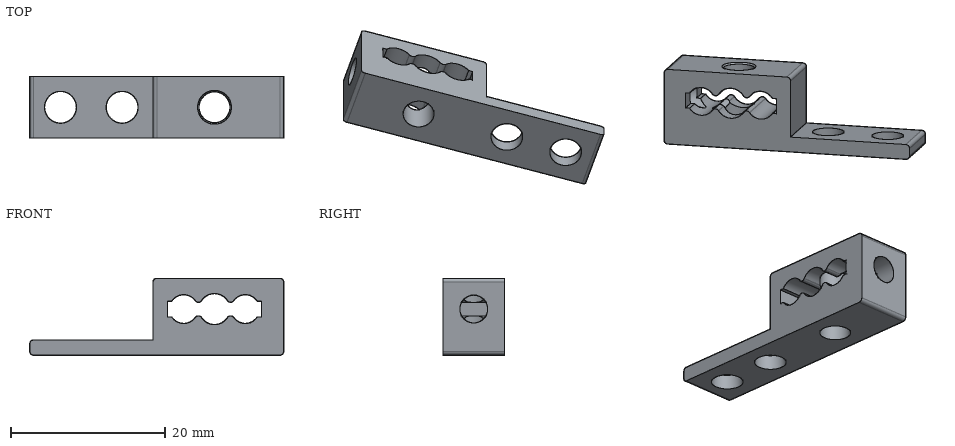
import cadquery as cq
import math

length = 33.0
width = 8.0
height = 10.0
tab_length = 16.0
tab_thickness = 2.0
edge_radius = 0.5

tab_hole_diameter = 4.1
tab_hole_positions = (4.0, 12.0)

passage_x = 24.0
passage_z = 6.0
lobe_pitch = 4.0
centre_lobe_radius = 2.0
side_lobe_radius = 1.85
neck_radius = 0.5
slot_length = 12.2
slot_height = 2.0

screw_hole_diameter = 4.0
screw_chamfer = 0.2

cable_bore_diameter = 3.6


def make_body():
    """Stepped side profile extruded across the width, with rounded outer edges."""
    body = (
        cq.Workplane("XZ")
        .polyline([
            (0, 0),
            (length, 0),
            (length, height),
            (tab_length, height),
            (tab_length, tab_thickness),
            (0, tab_thickness),
        ])
        .close()
        .extrude(width / 2, both=True)
    )
    body = body.edges("|Y and (<X or >X)").fillet(edge_radius)
    top_step_edge = cq.selectors.NearestToPointSelector((tab_length, 0, height))
    return body.edges(top_step_edge).fillet(edge_radius)


def passage_quarter_points():
    """Points along one quarter of the passage, from the centre lobe to the slot end.

    Each neck arc is tangent to the centre lobe and to a side lobe. Coordinates
    are relative to the passage centre.
    """
    centre_reach = centre_lobe_radius + neck_radius
    side_reach = side_lobe_radius + neck_radius
    neck_x = (lobe_pitch**2 + centre_reach**2 - side_reach**2) / (2 * lobe_pitch)
    neck_z = math.sqrt(centre_reach**2 - neck_x**2)

    centre_ratio = centre_lobe_radius / centre_reach
    side_ratio = side_lobe_radius / side_reach
    centre_tangent = (neck_x * centre_ratio, neck_z * centre_ratio)
    neck_tip = (neck_x, neck_z - neck_radius)
    side_tangent = (lobe_pitch + (neck_x - lobe_pitch) * side_ratio, neck_z * side_ratio)
    side_top = (lobe_pitch, side_lobe_radius)

    slot_half_height = slot_height / 2
    shoulder_x = lobe_pitch + math.sqrt(side_lobe_radius**2 - slot_half_height**2)
    shoulder = (shoulder_x, slot_half_height)
    slot_corner = (slot_length / 2, slot_half_height)
    return centre_tangent, neck_tip, side_tangent, side_top, shoulder, slot_corner


def mirrored(point, x_sign, z_sign):
    """The point reflected into the passage quarter with the given signs."""
    return (x_sign * point[0], z_sign * point[1])


def make_passage():
    """Cutter for the wire passage: one closed outline built from four mirrored quarters."""
    quarter = passage_quarter_points()
    slot_corner = quarter[-1]
    centre_top = (0, centre_lobe_radius)
    outline = cq.Workplane("XZ", origin=(passage_x, 0, passage_z))
    outline = outline.moveTo(*mirrored(slot_corner, -1, 1))

    for sign in (1, -1):
        before = [mirrored(point, -sign, sign) for point in quarter]
        after = [mirrored(point, sign, sign) for point in quarter]
        centre_tangent, neck_tip, side_tangent, side_top, shoulder, _ = before
        outline = (
            outline.lineTo(*shoulder)
            .threePointArc(side_top, side_tangent)
            .threePointArc(neck_tip, centre_tangent)
        )
        centre_tangent, neck_tip, side_tangent, side_top, shoulder, end_corner = after
        outline = (
            outline.threePointArc(mirrored(centre_top, sign, sign), centre_tangent)
            .threePointArc(neck_tip, side_tangent)
            .threePointArc(side_top, shoulder)
            .lineTo(*end_corner)
        )
        if sign == 1:
            outline = outline.lineTo(*mirrored(slot_corner, 1, -1))
    return outline.close().extrude(width, both=True)


def make_tab_holes():
    """Cutter for the two plain holes through the tab."""
    return (
        cq.Workplane("XY")
        .pushPoints([(x, 0) for x in tab_hole_positions])
        .circle(tab_hole_diameter / 2)
        .extrude(tab_thickness)
    )


def make_screw_hole():
    """Cutter for the vertical screw hole, flared at the top face."""
    bore_radius = screw_hole_diameter / 2
    bore = cq.Workplane("XY").center(passage_x, 0).circle(bore_radius).extrude(height)
    flare = (
        cq.Workplane("XY", origin=(passage_x, 0, height))
        .circle(bore_radius + screw_chamfer)
        .extrude(-screw_chamfer, taper=45)
    )
    return bore.union(flare)


def make_cable_bore():
    """Cutter for the blind cable bore, level with the passage centreline."""
    return (
        cq.Workplane("YZ", origin=(passage_x, 0, passage_z))
        .circle(cable_bore_diameter / 2)
        .extrude(length - passage_x)
    )


result = (
    make_body()
    .cut(make_passage())
    .cut(make_tab_holes())
    .cut(make_screw_hole())
    .cut(make_cable_bore())
)